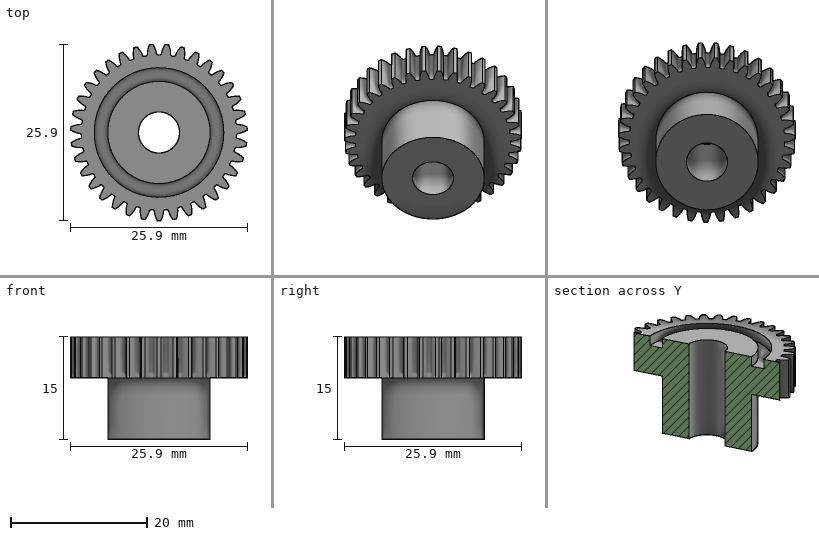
import cadquery as cq
import math

module = 0.7
tooth_count = 35
pressure_angle = math.radians(20)
dedendum_factor = 1.25
root_fillet = 0.2
first_tooth_angle = math.radians(-90)
flank_point_count = 6

pitch_radius = module * tooth_count / 2
tip_radius = pitch_radius + module
root_radius = pitch_radius - dedendum_factor * module
base_radius = pitch_radius * math.cos(pressure_angle)
tooth_pitch = 2 * math.pi / tooth_count

total_height = 15.0
rim_height = 6.0
rim_bottom = total_height - rim_height

hub_radius = 7.5
bore_radius = 3.0
groove_outer_radius = 9.5
groove_depth = 1.5

fillet_center_radius = root_radius + root_fillet
flank_start_radius = math.sqrt(fillet_center_radius**2 - root_fillet**2)
fillet_half_angle = math.asin(root_fillet / fillet_center_radius)


def polar(radius, angle):
    return (radius * math.cos(angle), radius * math.sin(angle))


def involute(angle):
    return math.tan(angle) - angle


def half_tooth_angle(radius):
    """Half of the angle a tooth spans at a radius; constant below the base circle."""
    half_at_base = tooth_pitch / 4 + involute(pressure_angle)
    roll_angle = math.acos(min(1.0, base_radius / radius))
    return half_at_base - involute(roll_angle)


def flank_points(tooth_angle, side):
    """Points up one tooth flank, root to tip; side is -1 (clockwise flank) or +1."""
    step = (tip_radius - flank_start_radius) / (flank_point_count - 1)
    radii = [flank_start_radius + i * step for i in range(flank_point_count)]
    return [polar(radius, tooth_angle + side * half_tooth_angle(radius)) for radius in radii]


def fillet_points(tooth_angle, side):
    """Middle and root-circle end of the fillet at the foot of one flank."""
    center_offset = half_tooth_angle(flank_start_radius) + fillet_half_angle
    center_angle = tooth_angle + side * center_offset
    center_x, center_y = polar(fillet_center_radius, center_angle)
    middle_direction = center_angle + math.pi + side * (math.pi / 2 - fillet_half_angle) / 2
    offset_x, offset_y = polar(root_fillet, middle_direction)
    return (center_x + offset_x, center_y + offset_y), polar(root_radius, center_angle)


def add_tooth(outline, tooth_angle):
    """Extend the outline over one tooth and along the root to the next tooth."""
    rising = flank_points(tooth_angle, -1)
    falling = flank_points(tooth_angle, 1)[::-1]
    fillet_middle, fillet_end = fillet_points(tooth_angle, 1)
    next_tooth_angle = tooth_angle + tooth_pitch
    next_fillet_middle, next_fillet_start = fillet_points(next_tooth_angle, -1)
    next_flank_start = flank_points(next_tooth_angle, -1)[0]
    gap_middle = polar(root_radius, tooth_angle + tooth_pitch / 2)
    return (
        outline.spline(rising[1:], includeCurrent=True)
        .threePointArc(polar(tip_radius, tooth_angle), falling[0])
        .spline(falling[1:], includeCurrent=True)
        .threePointArc(fillet_middle, fillet_end)
        .threePointArc(gap_middle, next_fillet_start)
        .threePointArc(next_fillet_middle, next_flank_start)
    )


def make_toothed_rim():
    outline = cq.Workplane("XY", origin=(0, 0, rim_bottom))
    outline = outline.moveTo(*flank_points(first_tooth_angle, -1)[0])
    for index in range(tooth_count):
        outline = add_tooth(outline, first_tooth_angle + index * tooth_pitch)
    return outline.close().extrude(rim_height)


def make_hub():
    return cq.Workplane("XY").circle(hub_radius).extrude(total_height)


def make_face_groove():
    """Ring-shaped cutter for the recess between hub and teeth in the top face."""
    groove_floor = total_height - groove_depth
    ring = cq.Workplane("XY", origin=(0, 0, groove_floor))
    return ring.circle(groove_outer_radius).circle(hub_radius).extrude(groove_depth)


def make_bore():
    return cq.Workplane("XY").circle(bore_radius).extrude(total_height)


result = make_toothed_rim().union(make_hub()).cut(make_face_groove()).cut(make_bore())